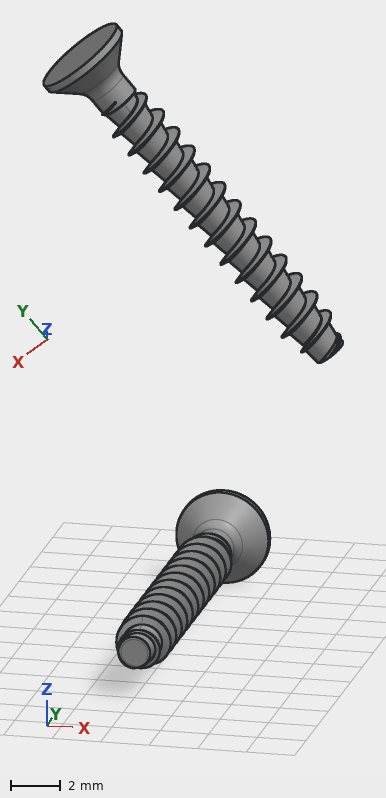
import cadquery as cq
import math


length = 16.0
head_radius = 1.9
head_rim_height = 0.34
shank_radius = 0.81
shank_end_depth = 2.54
neck_fillet_radius = 0.77
cone_angle = math.radians(45)

core_min_radius = 0.65
core_max_radius = 0.77
core_recess = 0.01
turn_gap = 0.02
buried_depth = 0.1
root_radius = core_min_radius - buried_depth

pitch = 0.98
thread_radius = 1.1
crest_width = 0.04
half_crest = crest_width / 2
flank_angle = math.radians(15)
flank_slope = math.tan(flank_angle)
crest_height_at_x = 0.746

z_axis = cq.Vector(0, 0, 1)
CYLINDER = 360.0

tip_turn = -0.75
tip_fade_turns = 1.5
shank_fade_turns = 1.25
full_end_depth = 3.45
fade_step = 0.01

tip_start = crest_height_at_x + tip_turn * pitch
full_start = tip_start + tip_fade_turns * pitch
full_end = length - full_end_depth
shank_start = full_end + shank_fade_turns * pitch
shank_finish = shank_start + pitch
faded_tip_radius = core_min_radius + fade_step
faded_shank_radius = shank_radius - fade_step

stations = [
    (tip_start, faded_tip_radius, core_min_radius),
    (full_start, thread_radius, core_max_radius),
    (full_end, thread_radius, core_max_radius),
    (shank_start, faded_shank_radius, core_max_radius),
    (shank_finish, faded_shank_radius, core_max_radius),
]


def make_body():
    """Turned blank: core, shank, neck fillet and countersunk head."""
    neck_radius = shank_radius + neck_fillet_radius * (1 - math.cos(cone_angle))
    cone_bottom = length - head_rim_height - (head_radius - neck_radius) / math.tan(cone_angle)
    fillet_bottom = cone_bottom - neck_fillet_radius * math.sin(cone_angle)
    half_angle = cone_angle / 2
    fillet_middle = (
        shank_radius + neck_fillet_radius * (1 - math.cos(half_angle)),
        fillet_bottom + neck_fillet_radius * math.sin(half_angle),
    )
    core_radius = core_min_radius - core_recess
    shank_bottom = length - shank_end_depth
    return (
        cq.Workplane("XZ")
        .lineTo(core_radius, 0)
        .lineTo(core_radius, shank_bottom)
        .lineTo(shank_radius, shank_bottom)
        .lineTo(shank_radius, fillet_bottom)
        .threePointArc(fillet_middle, (neck_radius, cone_bottom))
        .lineTo(head_radius, length - head_rim_height)
        .lineTo(head_radius, length)
        .lineTo(0, length)
        .close()
        .revolve(360, (0, 0, 0), (0, 1, 0))
    )


def winding_profile(crest_radius, ramp_radius):
    """Closed (radius, height) outline of one turn: the tooth and the core ramp on its tip side.

    Heights are measured from the tooth crest. The inner corners lie below the core surface.
    """
    lower_base = half_crest + (crest_radius - ramp_radius) * flank_slope
    upper_base = half_crest + (crest_radius - core_min_radius) * flank_slope
    ramp_end = turn_gap + half_crest + (thread_radius - core_min_radius) * flank_slope - pitch
    return [
        (root_radius, ramp_end),
        (core_min_radius, ramp_end),
        (ramp_radius, -lower_base),
        (crest_radius, -half_crest),
        (crest_radius, half_crest),
        (core_min_radius, upper_base),
        (root_radius, upper_base),
    ]


def station_corners(station):
    """Corners of the winding outline at a station, with heights above the tip."""
    crest_height, crest_radius, ramp_radius = station
    outline = winding_profile(crest_radius, ramp_radius)
    return [(radius, crest_height + height) for radius, height in outline]


def helix_between(start, end, turns, start_turn):
    """Helix about Z from one (radius, height) corner to another."""
    start_radius, start_height = start
    end_radius, end_height = end
    growth = end_radius - start_radius
    rise = end_height - start_height
    slant = math.hypot(rise, growth)
    taper = math.degrees(math.atan2(growth, rise)) if growth else CYLINDER
    centre = cq.Vector(0, 0, start_height)
    helix = cq.Wire.makeHelix(slant / turns, slant, start_radius, centre, z_axis, taper)
    return helix.rotate(cq.Vector(0, 0, 0), z_axis, 360 * start_turn)


def make_end_face(station):
    """Flat face that closes the winding in the half-plane of a station."""
    angle = 2 * math.pi * (station[0] - crest_height_at_x) / pitch
    points = [
        cq.Vector(radius * math.cos(angle), radius * math.sin(angle), height)
        for radius, height in station_corners(station)
    ]
    return cq.Face.makeFromWires(cq.Wire.makePolygon(points, close=True))


def make_winding():
    """Thread and core ramp as one solid, wound through the stations from the tip to the shank."""
    faces = []
    for station, next_station in zip(stations, stations[1:]):
        turns = (next_station[0] - station[0]) / pitch
        start_turn = (station[0] - crest_height_at_x) / pitch
        corner_pairs = zip(station_corners(station), station_corners(next_station))
        helices = [helix_between(start, end, turns, start_turn) for start, end in corner_pairs]
        for helix, next_helix in zip(helices, helices[1:] + helices[:1]):
            faces.append(cq.Face.makeRuledSurface(helix, next_helix))
    for station in (stations[0], stations[-1]):
        faces.append(make_end_face(station))
    return cq.Solid.makeSolid(cq.Shell.makeShell(faces))


below_tip = cq.Workplane("XY").circle(head_radius).extrude(-2 * pitch)
winding = cq.Workplane(make_winding())
screw = make_body().union(winding, clean=False).cut(below_tip, clean=False)

result = screw.rotate((0, 0, 0), (1, 0, 0), -90).translate((0, -length, 0))